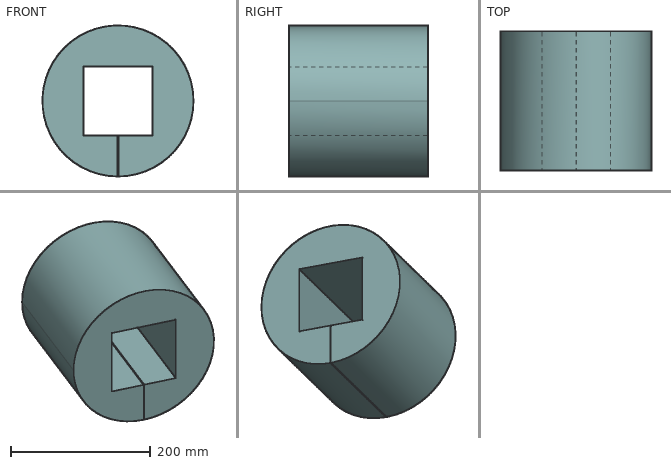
import cadquery as cq

diameter = 217.0
length = 200.0
bore_side = 98.5
slit_width = 1.0

sleeve = cq.Workplane("XZ", origin=(0, length / 2, 0)).circle(diameter / 2).extrude(length)

bore = cq.Workplane("XY").box(bore_side, length, bore_side)

slit = cq.Workplane("XY").box(slit_width, length, diameter / 2).translate((0, 0, -diameter / 4))

result = sleeve.cut(bore).cut(slit)